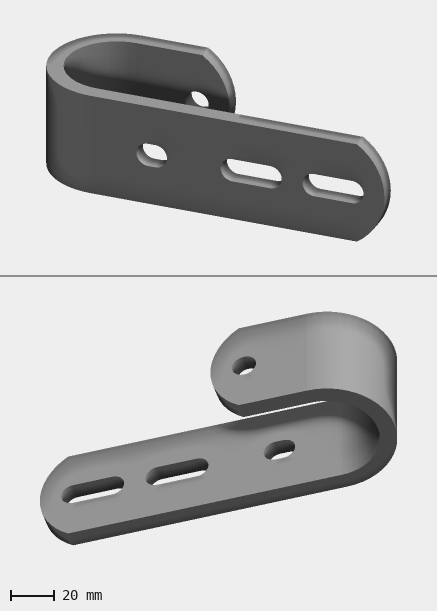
import cadquery as cq
import math

total_length = 176.0
bend_radius = 32.0
thickness = 8.0
height = 50.0
short_arm_end = 78.0
end_radius = 30.0

opening_width = 11.5
slot_length = 30.0
slot_centers = (110.7, 150.8)
short_slot_length = 15.0
hole_center = 62.0

inner_radius = bend_radius - thickness
arc_depth = end_radius - math.sqrt(end_radius**2 - (height / 2) ** 2)


def arm(end_x, rear_y):
    """Flat arm from the bend to an arc-shaped end, with its +Y face at rear_y."""
    shoulder_x = end_x - arc_depth
    outline = (
        cq.Workplane("XZ", origin=(0, rear_y, 0))
        .moveTo(bend_radius, -height / 2)
        .lineTo(shoulder_x, -height / 2)
        .threePointArc((end_x, 0), (shoulder_x, height / 2))
        .lineTo(bend_radius, height / 2)
        .close()
    )
    return outline.extrude(thickness)


def slot_cutter(center_x, length):
    """Slot along X through the long arm on the -Y side."""
    return (
        cq.Workplane("XZ")
        .center(center_x, 0)
        .slot2D(length, opening_width)
        .extrude(bend_radius)
    )


bend = (
    cq.Workplane("XY", origin=(0, 0, -height / 2))
    .moveTo(bend_radius, bend_radius)
    .threePointArc((0, 0), (bend_radius, -bend_radius))
    .lineTo(bend_radius, -inner_radius)
    .threePointArc((thickness, 0), (bend_radius, inner_radius))
    .close()
    .extrude(height)
)

long_arm = arm(total_length, -inner_radius)
short_arm = arm(short_arm_end, bend_radius)
result = bend.union(long_arm).union(short_arm)

for slot_center in slot_centers:
    result = result.cut(slot_cutter(slot_center, slot_length))
result = result.cut(slot_cutter(hole_center, short_slot_length))

short_arm_hole = (
    cq.Workplane("XZ")
    .center(hole_center, 0)
    .circle(opening_width / 2)
    .extrude(-bend_radius)
)
result = result.cut(short_arm_hole)